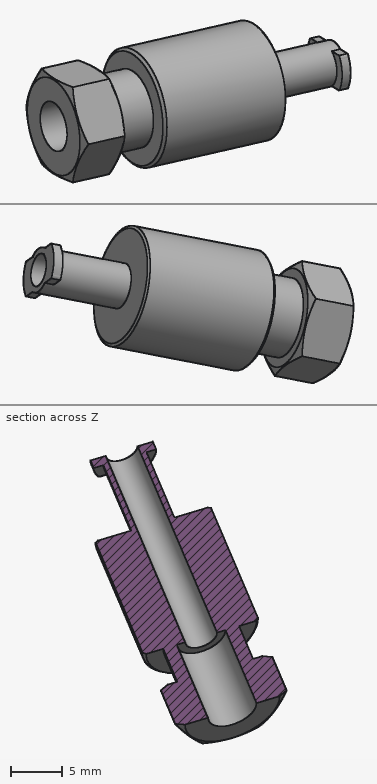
import cadquery as cq
import math

total_length = 32.0

nut_flats = 10.0
nut_length = 5.0
nut_face_diameter = 9.8
nut_chamfer_angle = 25.0

neck_diameter = 7.9
neck_length = 4.0
body_diameter = 12.0
body_length = 14.0
front_chamfer = 0.3
back_chamfer_length = 0.15
back_chamfer_inset = 0.3
shank_diameter = 4.5

tab_span = 6.5
tab_height = 3.68
tab_thickness = 1.0
tab_flat_end = 2.65
tab_corner_height = 1.5
tab_corner_radius = 0.5

bore_diameter = 3.25
socket_diameter = 5.0

body_start = nut_length + neck_length
body_end = body_start + body_length
socket_depth = body_start


def cylinder(diameter, start, end):
    """Solid cylinder along Y between two Y positions."""
    base = cq.Workplane("XZ", origin=(0, start, 0))
    return base.circle(diameter / 2).extrude(start - end)


def make_nut():
    """Hexagon with corners on the X axis, both ends coned to round faces."""
    across_corners = nut_flats / math.cos(math.radians(30))
    corner_radius = across_corners / 2
    face_radius = nut_face_diameter / 2
    cone_length = (corner_radius - face_radius) * math.tan(math.radians(nut_chamfer_angle))
    hexagon = cq.Workplane("XZ").polygon(6, across_corners).extrude(-nut_length)
    envelope = (
        cq.Workplane("XY")
        .moveTo(0, 0)
        .lineTo(face_radius, 0)
        .lineTo(corner_radius, cone_length)
        .lineTo(corner_radius, nut_length - cone_length)
        .lineTo(face_radius, nut_length)
        .lineTo(0, nut_length)
        .close()
        .revolve(360, (0, 0, 0), (0, 1, 0))
    )
    return hexagon.intersect(envelope)


def make_body():
    """Main cylinder with a chamfer at each end."""
    body = cylinder(body_diameter, body_start, body_end)
    body = body.faces("<Y").chamfer(front_chamfer)
    return body.faces(">Y").chamfer(back_chamfer_length, back_chamfer_inset)


def make_tabs():
    """Flat bar across the shank with round ends and rounded corners, one tab on each side."""
    end_radius = tab_span / 2
    half_height = tab_height / 2
    corner_x = math.sqrt(end_radius**2 - tab_corner_height**2)
    profile = (
        cq.Workplane("XZ", origin=(0, total_length, 0))
        .moveTo(-tab_flat_end, half_height)
        .lineTo(tab_flat_end, half_height)
        .radiusArc((corner_x, tab_corner_height), tab_corner_radius)
        .threePointArc((end_radius, 0), (corner_x, -tab_corner_height))
        .radiusArc((tab_flat_end, -half_height), tab_corner_radius)
        .lineTo(-tab_flat_end, -half_height)
        .radiusArc((-corner_x, -tab_corner_height), tab_corner_radius)
        .threePointArc((-end_radius, 0), (-corner_x, tab_corner_height))
        .radiusArc((-tab_flat_end, half_height), tab_corner_radius)
        .close()
    )
    return profile.extrude(tab_thickness)


neck = cylinder(neck_diameter, nut_length, body_start)
shank = cylinder(shank_diameter, body_end, total_length)
bore = cylinder(bore_diameter, 0, total_length)
socket = cylinder(socket_diameter, 0, socket_depth)

result = make_nut().union(neck).union(make_body()).union(shank).union(make_tabs())
result = result.cut(bore).cut(socket)